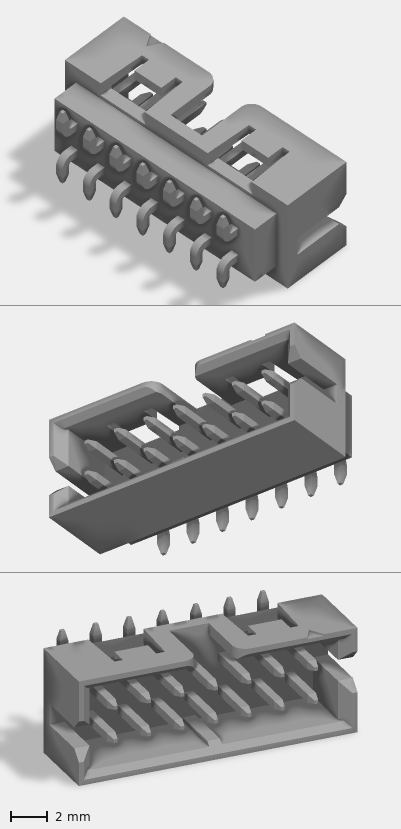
import cadquery as cq
import math


shroud_length = 16.65
shroud_depth = 4.68
shroud_height = 6.3
floor_thickness = 0.8
end_wall = 0.9
long_wall = 0.67
end_lead_in = 0.6
long_lead_in = 0.35
cavity_half_length = shroud_length / 2 - end_wall
cavity_half_height = shroud_height / 2 - long_wall

base_length = 14.98
base_depth = 1.71
base_height = 3.96

slot_height = 1.27
slot_offset = 0.5
slot_flare = 0.6

notch_width = 2.36
notch_radius = 0.8
rib_width = 0.75
rib_height = 0.25

window_mouth_half = 1.65
window_end_half = 1.52
window_end = 3.15
window_ledge_depth = 0.92
tab_width = 2.0
tab_end = 2.0

mark_x = -5.83
mark_side = 1.0
mark_depth = 0.1

pins_per_row = 7
pitch = 2.0
pin_width = 0.5
pin_tip_width = 0.22
taper_length = 0.6
contact_setback = 0.28
tail_depth = 1.2
tail_reach = 2.65
bend_inner = 0.2
bend_outer = bend_inner + pin_width

shroud_top = shroud_height / 2
base_end = -base_depth
tail_end = base_end - tail_depth
pin_xs = [(i - (pins_per_row - 1) / 2) * pitch for i in range(pins_per_row)]
window_xs = [-2 * pitch, 2 * pitch]


def block(x_range, y_range, z_range):
    """Box between the given limits."""
    ranges = (x_range, y_range, z_range)
    size = [high - low for low, high in ranges]
    corner = [low for low, high in ranges]
    return cq.Workplane("XY").box(*size, centered=False).translate(tuple(corner))


def plan_prism(points, z_low, z_high):
    """Prism with an XY outline between two heights."""
    return cq.Workplane("XY").workplane(offset=z_low).polyline(points).close().extrude(z_high - z_low)


def side_prism(points, x_low, x_high):
    """Prism with a YZ outline between two X positions."""
    return cq.Workplane("YZ").workplane(offset=x_low).polyline(points).close().extrude(x_high - x_low)


def flared_outline(half_width, flare):
    """Channel from the cavity floor to the mating face, widening at 45 degrees near the mouth."""
    neck = shroud_depth - flare
    mouth_half = half_width + flare
    return [
        (-half_width, floor_thickness),
        (half_width, floor_thickness),
        (half_width, neck),
        (mouth_half, shroud_depth),
        (-mouth_half, shroud_depth),
        (-half_width, neck),
    ]


def cavity():
    """Mating cavity with a sloped lead-in on all four walls."""
    plan = plan_prism(flared_outline(cavity_half_length, end_lead_in), -shroud_top, shroud_top)
    profile = [(y, z) for z, y in flared_outline(cavity_half_height, long_lead_in)]
    return plan.intersect(side_prism(profile, -shroud_length / 2, shroud_length / 2))


def end_slot(side):
    """Flared slot in one end wall; the slots sit above centre at -X and below centre at +X."""
    outline = [(y, z - side * slot_offset) for z, y in flared_outline(slot_height / 2, slot_flare)]
    x_low, x_high = sorted((side * (cavity_half_length - end_lead_in), side * shroud_length / 2))
    return side_prism(outline, x_low, x_high)


def key_notch():
    """Open notch through the upper wall with rounded corners at the mouth."""
    half = notch_width / 2
    shoulder = shroud_depth - notch_radius
    arc_inset = notch_radius * (1 - math.sqrt(0.5))
    return (
        cq.Workplane("XY")
        .moveTo(-half, floor_thickness)
        .lineTo(half, floor_thickness)
        .lineTo(half, shoulder)
        .threePointArc((half + arc_inset, shroud_depth - arc_inset), (half + notch_radius, shroud_depth))
        .lineTo(-half - notch_radius, shroud_depth)
        .threePointArc((-half - arc_inset, shroud_depth - arc_inset), (-half, shoulder))
        .close()
        .extrude(shroud_top)
    )


def key_rib():
    """Rib on the lower wall under the notch, continuing the lead-in slope."""
    rib_top = -cavity_half_height + rib_height
    wall_start = -cavity_half_height - long_lead_in
    outline = [
        (floor_thickness, wall_start),
        (shroud_depth, wall_start),
        (shroud_depth - long_lead_in - rib_height, rib_top),
        (floor_thickness, rib_top),
    ]
    return side_prism(outline, -rib_width / 2, rib_width / 2)


def latch_window(x):
    """Tapered window around a central tab, stepped over the floor down to a ledge."""
    outline = [
        (x - window_mouth_half, 0),
        (x + window_mouth_half, 0),
        (x + window_end_half, window_end),
        (x + tab_width / 2, window_end),
        (x + tab_width / 2, tab_end),
        (x - tab_width / 2, tab_end),
        (x - tab_width / 2, window_end),
        (x - window_end_half, window_end),
    ]
    return plan_prism(outline, shroud_top - window_ledge_depth, shroud_top)


def pin_one_mark():
    """Triangular recess at the mating edge of the upper face."""
    apex_y = shroud_depth - mark_side * math.sqrt(3) / 2
    outline = [
        (mark_x - mark_side / 2, shroud_depth),
        (mark_x + mark_side / 2, shroud_depth),
        (mark_x, apex_y),
    ]
    return plan_prism(outline, shroud_top - mark_depth, shroud_top)


def taper(plane):
    """Square pin tip narrowing along the plane normal."""
    return (
        cq.Workplane(plane)
        .rect(pin_width, pin_width)
        .workplane(offset=taper_length)
        .rect(pin_tip_width, pin_tip_width)
        .loft()
    )


def upper_pin():
    """Square pin of the upper row at X = 0, with its solder tail bent up."""
    row_z = pitch / 2
    low = row_z - pin_width / 2
    high = row_z + pin_width / 2
    contact_end = shroud_depth - contact_setback - taper_length
    tail_top = tail_reach - taper_length
    bend_y = tail_end + bend_outer
    bend_z = low + bend_outer
    diagonal = math.sqrt(0.5)
    body = (
        cq.Workplane("YZ")
        .workplane(offset=-pin_width / 2)
        .moveTo(contact_end, low)
        .lineTo(bend_y, low)
        .threePointArc((bend_y - bend_outer * diagonal, bend_z - bend_outer * diagonal), (tail_end, bend_z))
        .lineTo(tail_end, tail_top)
        .lineTo(tail_end + pin_width, tail_top)
        .lineTo(tail_end + pin_width, bend_z)
        .threePointArc((bend_y - bend_inner * diagonal, bend_z - bend_inner * diagonal), (bend_y, high))
        .lineTo(contact_end, high)
        .close()
        .extrude(pin_width)
    )
    contact_tip = taper("XZ").mirror("XZ").translate((0, contact_end, row_z))
    tail_tip = taper("XY").translate((0, tail_end + pin_width / 2, tail_top))
    return body.union(contact_tip).union(tail_tip)


half_length = shroud_length / 2
housing = block((-half_length, half_length), (0, shroud_depth), (-shroud_top, shroud_top))
housing = housing.union(
    block((-base_length / 2, base_length / 2), (base_end, 0), (-base_height / 2, base_height / 2))
)
housing = housing.cut(cavity()).cut(key_notch()).cut(pin_one_mark())
for end_side in (-1, 1):
    housing = housing.cut(end_slot(end_side))
for window_x in window_xs:
    housing = housing.cut(latch_window(window_x))
housing = housing.union(key_rib())

pin = upper_pin()
pin_pair = pin.union(pin.mirror("XY"))
result = housing
for pin_x in pin_xs:
    result = result.union(pin_pair.translate((pin_x, 0, 0)))